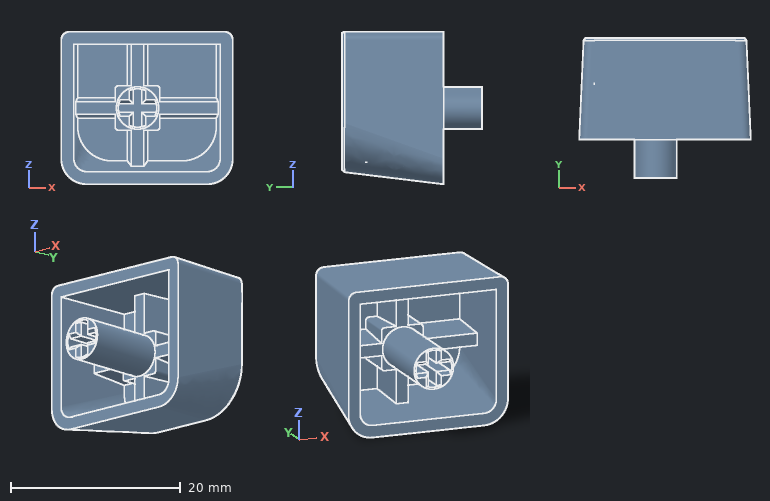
import cadquery as cq
import math

rim_width = 20.25
rim_height = 18.0
body_depth = 11.99
wall = 1.5
side_draft = 0.53
bottom_rise = 1.45
top_radius = 1.0
rim_bottom_radius = 3.04
back_bottom_radius = 5.87
back_chamfer = 0.3
cavity_depth = body_depth - wall

stem_x = -1.11
stem_diameter = 5.0
stem_projection = 4.52
socket_diameter = 4.54
slot_width = 1.03
slot_chamfer = 0.45
pad_size = 5.26
pad_radius = 0.4
rib_width = 1.5
rib_base_width = 2.4
rib_height = 5.0
pad_y = cavity_depth - rib_height
stem_length = stem_projection + pad_y


def plane_at(y):
    """Plane normal to Y, with local x along X, local y along Z and normal toward -Y."""
    return cq.Plane(origin=(0, y, 0), xDir=(1, 0, 0), normal=(0, -1, 0))


def section(y, inset, sharp_top):
    """Closed outline of the body at depth y, moved inward by inset."""
    fraction = y / body_depth
    half = rim_width / 2 - side_draft * fraction - inset
    top = rim_height / 2 - inset
    bottom = -rim_height / 2 + bottom_rise * fraction + inset
    radius_growth = back_bottom_radius - rim_bottom_radius
    r = rim_bottom_radius + radius_growth * fraction - inset
    bend = 1 - math.sqrt(0.5)
    outline = cq.Workplane(plane_at(y)).moveTo(-half + r, bottom).lineTo(half - r, bottom)
    outline = outline.threePointArc((half - r * bend, bottom + r * bend), (half, bottom + r))
    if sharp_top:
        outline = outline.lineTo(half, top).lineTo(-half, top)
    else:
        t = top_radius
        outline = outline.lineTo(half, top - t)
        outline = outline.threePointArc((half - t * bend, top - t * bend), (half - t, top))
        outline = outline.lineTo(-half + t, top)
        outline = outline.threePointArc((-half + t * bend, top - t * bend), (-half, top - t))
    outline = outline.lineTo(-half, bottom + r)
    outline = outline.threePointArc((-half + r * bend, bottom + r * bend), (-half + r, bottom))
    return outline.close().val()


def drafted_body(depth, inset=0.0, sharp_top=False):
    """Solid between the rim outline and the outline at the given depth."""
    outlines = [section(y, inset, sharp_top) for y in (0, depth)]
    return cq.Workplane(obj=cq.Solid.makeLoft(outlines, True))


def rib(size_x, size_z, taper_x, taper_z):
    """Rib rising from the cavity floor, narrowed by the tapers at its crest."""
    base = cq.Workplane(plane_at(cavity_depth)).center(stem_x, 0).rect(size_x, size_z)
    crest = base.workplane(offset=rib_height).rect(size_x - taper_x, size_z - taper_z)
    return crest.loft(ruled=True)


def inner_structure():
    """Crossed ribs and the pad, trimmed to the cavity."""
    span = 2 * rim_width
    taper = rib_base_width - rib_width
    pad = (
        cq.Workplane(plane_at(cavity_depth)).center(stem_x, 0)
        .rect(pad_size, pad_size).extrude(rib_height)
        .edges("|Y").fillet(pad_radius)
    )
    ribs = rib(span, rib_base_width, 0, taper).union(rib(rib_base_width, span, taper, 0))
    return ribs.union(pad).intersect(cavity)


def socket():
    """Cross-shaped socket with chamfered mouth edges and rounded arm ends."""
    tip = cq.Workplane(plane_at(-stem_projection)).center(stem_x, 0)
    bore = tip.circle(socket_diameter / 2).extrude(-stem_length)
    mouth_width = slot_width + 2 * slot_chamfer
    arm = tip.rect(stem_diameter, slot_width).extrude(-stem_length)
    mouth = (
        tip.rect(stem_diameter, mouth_width)
        .workplane(offset=-slot_chamfer).rect(stem_diameter, slot_width)
        .loft(ruled=True)
    )
    arm = arm.union(mouth)
    crossing_arm = arm.rotate((stem_x, 0, 0), (stem_x, 1, 0), 90)
    return arm.union(crossing_arm).intersect(bore)


cavity = drafted_body(cavity_depth, wall, sharp_top=True)
shell = drafted_body(body_depth).faces(">Y").chamfer(back_chamfer).cut(cavity)
stem = (
    cq.Workplane(plane_at(pad_y)).center(stem_x, 0)
    .circle(stem_diameter / 2).extrude(stem_length)
)
result = shell.union(inner_structure()).union(stem).cut(socket())